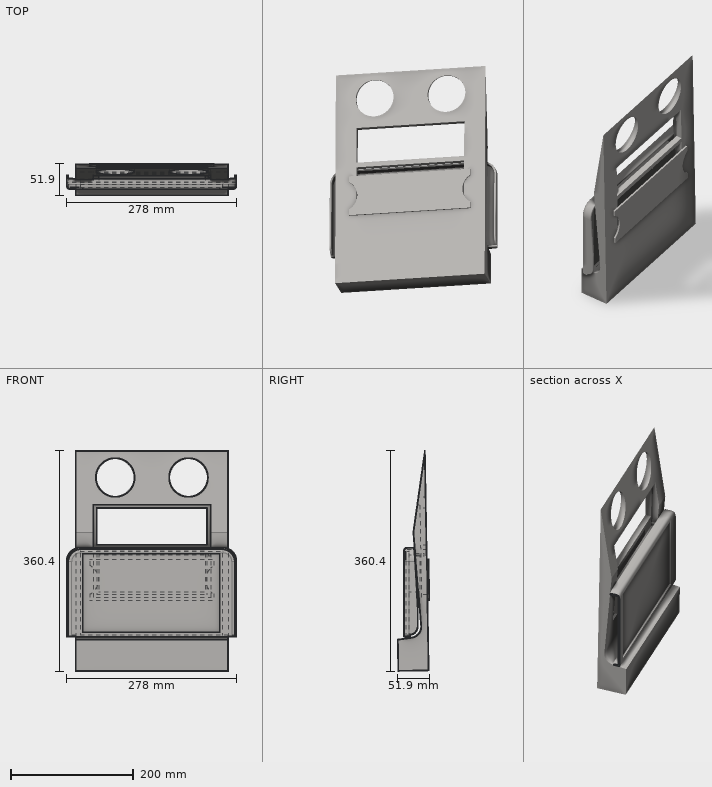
import cadquery as cq
import math

LEAN_ANGLE = 1.0
STAND_WIDTH = 250.0
BASE_DEPTH = 50.0
STAND_HEIGHT = 359.57
BLOCK_HEIGHT = 51.43
CREASE_DEPTH = 28.6
CREASE_HEIGHT = 226.5
SEAT_ANGLE = 3.76
FLOOR_ANGLE = 7.13
CRADLE_RADIUS = 18.0

EYE_DIAMETER = 63.0
EYE_SPACING = 120.0
EYE_HEIGHT = 316.0

WINDOW_WIDTH = 180.0
WINDOW_HEIGHT = 60.0
WINDOW_BOTTOM = 206.2
BAR_HEIGHT = 8.0
OPENING_BOTTOM = 125.0
RECESS_SIDE_RIM = 6.0
RECESS_END_RIM = 5.0
RECESS_FLOOR = 40.0

PLATE_WIDTH = 203.0
PLATE_HEIGHT = 67.3
PLATE_BOTTOM = 115.1
PLATE_THICKNESS = 3.0
NOTCH_RADIUS = 27.0
NOTCH_HEIGHT = 47.0

PIN_DIAMETER = 4.0
PIN_X = 93.9
PIN_Z = 190.0
PIN_FRONT = 31.5
PIN_SOCKET_DEPTH = 5.0

COVER_WIDTH = 278.0
COVER_BOTTOM = 56.3
COVER_TOP = 202.0
COVER_X = -0.6
COVER_FRONT = 9.1
COVER_WALL = 3.0
COVER_CORNER_RADIUS = 22.5
COVER_BLEND = 8.0
BLEND_FULLNESS = 0.75
COVER_RIM_RADIUS = 1.0
HEEL_LIFT = 2.4
HEEL_LIP = 3.0
RIM_TOP_Y = 26.1
RIM_Y = 32.15
RIM_BEND_Z = 103.0

CUT_MARGIN = 1.0

SCREEN_WIDTH = 224.4
SCREEN_HEIGHT = 128.4
SCREEN_X = -1.2
SCREEN_BOTTOM = 63.6
DISPLAY_BORDER = 4.0
DISPLAY_THICKNESS = 5.0
DISPLAY_FRONT = COVER_FRONT + COVER_WALL
DISPLAY_BACK = DISPLAY_FRONT + DISPLAY_THICKNESS
CONTROLLER_WIDTH = 174.6
CONTROLLER_BOTTOM = 130.0
CONTROLLER_TOP = 190.0
CONTROLLER_BACK = 35.0


def box(x_mid, width, y_range, z_range):
    """Box centred on x_mid, between two Y and two Z positions."""
    depth = y_range[1] - y_range[0]
    height = z_range[1] - z_range[0]
    corner = (x_mid - width / 2, y_range[0], z_range[0])
    return cq.Workplane("XY").box(width, depth, height, centered=False).translate(corner)


def rod(x, z, diameter, y_range):
    """Cylinder along Y between two Y positions."""
    length = y_range[1] - y_range[0]
    return cq.Workplane("XZ", origin=(x, y_range[0], z)).circle(diameter / 2).extrude(-length)


def lean(body):
    return body.rotate((0, 0, 0), (1, 0, 0), LEAN_ANGLE)


def make_stand():
    seat_slope = math.tan(math.radians(SEAT_ANGLE))
    floor_slope = math.tan(math.radians(FLOOR_ANGLE))
    seat_at_block = CREASE_DEPTH + (CREASE_HEIGHT - BLOCK_HEIGHT) * seat_slope
    root_y = seat_at_block / (1 + seat_slope * floor_slope)
    root_z = BLOCK_HEIGHT + root_y * floor_slope
    body = (
        cq.Workplane("YZ")
        .moveTo(0, 0)
        .lineTo(0, BLOCK_HEIGHT)
        .lineTo(root_y, root_z)
        .lineTo(CREASE_DEPTH, CREASE_HEIGHT)
        .lineTo(BASE_DEPTH, STAND_HEIGHT)
        .lineTo(BASE_DEPTH, 0)
        .close()
        .extrude(STAND_WIDTH / 2, both=True)
    )
    root_edge = cq.selectors.NearestToPointSelector((0, root_y, root_z))
    body = body.edges("|X").edges(root_edge).fillet(CRADLE_RADIUS)

    through = (-BASE_DEPTH, 2 * BASE_DEPTH)
    for side in (-1, 1):
        body = body.cut(rod(side * EYE_SPACING / 2, EYE_HEIGHT, EYE_DIAMETER, through))

    window_top = WINDOW_BOTTOM + WINDOW_HEIGHT
    opening_top = WINDOW_BOTTOM - BAR_HEIGHT
    recess_width = WINDOW_WIDTH + 2 * RECESS_SIDE_RIM
    recess_z = (OPENING_BOTTOM - RECESS_END_RIM, window_top + RECESS_END_RIM)
    body = body.cut(box(0, recess_width, (0, RECESS_FLOOR), recess_z))
    body = body.cut(box(0, WINDOW_WIDTH, through, (WINDOW_BOTTOM, window_top)))
    body = body.cut(box(0, WINDOW_WIDTH, through, (OPENING_BOTTOM, opening_top)))
    body = body.cut(rod(PIN_X, PIN_Z, PIN_DIAMETER, (RECESS_FLOOR, RECESS_FLOOR + PIN_SOCKET_DEPTH)))
    return lean(body)


def make_pin():
    return lean(rod(PIN_X, PIN_Z, PIN_DIAMETER, (PIN_FRONT, RECESS_FLOOR + PIN_SOCKET_DEPTH)))


def make_back_plate():
    back = BASE_DEPTH + PLATE_THICKNESS
    plate = box(0, PLATE_WIDTH, (BASE_DEPTH, back), (PLATE_BOTTOM, PLATE_BOTTOM + PLATE_HEIGHT))
    mid_z = PLATE_BOTTOM + PLATE_HEIGHT / 2
    notch_offset = math.sqrt(NOTCH_RADIUS**2 - (NOTCH_HEIGHT / 2) ** 2)
    for side in (-1, 1):
        notch_x = side * (PLATE_WIDTH / 2 + notch_offset)
        plate = plate.cut(rod(notch_x, mid_z, 2 * NOTCH_RADIUS, (BASE_DEPTH, back)))
    return lean(plate)


def blend_cutter():
    """Waste outside the soft front edge, swept up one side, over the top and down the other."""
    left = COVER_X - COVER_WIDTH / 2
    right = COVER_X + COVER_WIDTH / 2
    radius = COVER_CORNER_RADIUS
    arc_reach = radius * (1 - math.sqrt(0.5))
    path = (
        cq.Workplane("XZ", origin=(0, COVER_FRONT, 0))
        .moveTo(left, COVER_BOTTOM - CUT_MARGIN)
        .lineTo(left, COVER_TOP - radius)
        .threePointArc((left + arc_reach, COVER_TOP - arc_reach), (left + radius, COVER_TOP))
        .lineTo(right - radius, COVER_TOP)
        .threePointArc((right - arc_reach, COVER_TOP - arc_reach), (right, COVER_TOP - radius))
        .lineTo(right, COVER_BOTTOM - CUT_MARGIN)
    )
    hug = COVER_BLEND * BLEND_FULLNESS
    front_end = (left + COVER_BLEND, COVER_FRONT)
    side_end = (left, COVER_FRONT + COVER_BLEND)
    front_handle = (front_end[0] - hug, COVER_FRONT)
    side_handle = (left, side_end[1] - hug)
    return (
        cq.Workplane("XY", origin=(0, 0, COVER_BOTTOM - CUT_MARGIN))
        .moveTo(*front_end)
        .bezier([front_end, front_handle, side_handle, side_end])
        .lineTo(left - CUT_MARGIN, side_end[1])
        .lineTo(left - CUT_MARGIN, COVER_FRONT - CUT_MARGIN)
        .lineTo(front_end[0], COVER_FRONT - CUT_MARGIN)
        .close()
        .sweep(path)
    )


def cover_side_outline():
    """Side outline: short bottom lip, round heel, upright rim, then the sloped rim."""
    heel_y = COVER_FRONT + COVER_BLEND
    heel_radius = RIM_Y - heel_y
    heel_z = COVER_BOTTOM + HEEL_LIFT + heel_radius
    lip_y = heel_y + HEEL_LIP
    lip_top = heel_z - math.sqrt(heel_radius**2 - HEEL_LIP**2)
    heel_middle = heel_radius * math.sqrt(0.5)
    return (
        cq.Workplane("YZ", origin=(COVER_X, 0, 0))
        .moveTo(COVER_FRONT, COVER_BOTTOM)
        .lineTo(lip_y, COVER_BOTTOM)
        .lineTo(lip_y, lip_top)
        .threePointArc((heel_y + heel_middle, heel_z - heel_middle), (RIM_Y, heel_z))
        .lineTo(RIM_Y, RIM_BEND_Z)
        .lineTo(RIM_TOP_Y, COVER_TOP)
        .lineTo(COVER_FRONT, COVER_TOP)
        .close()
        .extrude(COVER_WIDTH, both=True)
    )


def make_cover():
    body = box(COVER_X, COVER_WIDTH, (COVER_FRONT, RIM_Y), (COVER_BOTTOM, COVER_TOP))
    body = body.edges("|Y and >Z").fillet(COVER_CORNER_RADIUS)
    body = body.cut(blend_cutter())
    inner = box(
        COVER_X,
        COVER_WIDTH - 2 * COVER_WALL,
        (COVER_FRONT + COVER_WALL, RIM_Y),
        (COVER_BOTTOM + COVER_WALL, COVER_TOP - COVER_WALL),
    )
    inner = inner.edges("|Y and >Z").fillet(COVER_CORNER_RADIUS - COVER_WALL)
    body = body.cut(inner)
    screen_opening = box(
        SCREEN_X,
        SCREEN_WIDTH,
        (COVER_FRONT, DISPLAY_FRONT),
        (SCREEN_BOTTOM, SCREEN_BOTTOM + SCREEN_HEIGHT),
    )
    body = body.cut(screen_opening)
    body = body.intersect(cover_side_outline())
    outer_edges = body.faces("<X or >X or <Z").edges("not |Z")
    return outer_edges.fillet(COVER_RIM_RADIUS)


def make_display():
    return box(
        SCREEN_X,
        SCREEN_WIDTH + 2 * DISPLAY_BORDER,
        (DISPLAY_FRONT, DISPLAY_BACK),
        (SCREEN_BOTTOM - DISPLAY_BORDER, SCREEN_BOTTOM + SCREEN_HEIGHT + DISPLAY_BORDER),
    )


def make_controller():
    return box(
        0,
        CONTROLLER_WIDTH,
        (DISPLAY_BACK, CONTROLLER_BACK),
        (CONTROLLER_BOTTOM, CONTROLLER_TOP),
    )


stand = make_stand()
pin = make_pin()
back_plate = make_back_plate()
cover = make_cover()
display = make_display()
controller = make_controller()

result = cq.Compound.makeCompound(
    [stand.val(), pin.val(), back_plate.val(), cover.val(), display.val(), controller.val()]
)